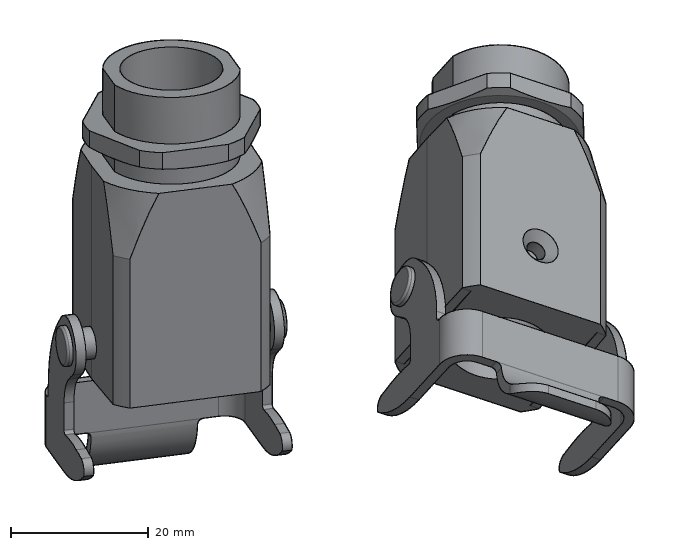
import cadquery as cq
import math

BLOCK_HALF_X = 12.1
BLOCK_HALF_Y_CREST = 12.2
BLOCK_HALF_Y_EDGE = 11.9
BLOCK_TOP = 33.9
CORNER_RADIUS = 15.7
TAPER_START = 23.9
TAPER_TOP_RADIUS = 13.35

LIP_DROP = 0.3
LIP_HALF_X = 10.1
LIP_INNER_Y = 10.5

NECK_DIAMETER = 20.0
NECK_FLAT_HALF_Y = 9.55
NECK_TOP = 47.8
BORE_DIAMETER = 15.0

COLLAR_BOTTOM = 37.25
COLLAR_TOP = 40.35
COLLAR_ACROSS_FLATS = 2 * BLOCK_HALF_X
COLLAR_CORNER_RADIUS = 13.15
COLLAR_CHAMFER_RADIUS = 11.8
COLLAR_CHAMFER_RISE = 0.4

SCREW_Z = 10.7
SCREW_HOLE_DIAMETER = 3.0
SCREW_SINK_DIAMETER = 5.8
SCREW_SINK_DEPTH = (SCREW_SINK_DIAMETER - SCREW_HOLE_DIAMETER) / 2
SCREW_HOLE_DEPTH = 3.6

PIVOT_Z = 5.45
PIN_DIAMETER = 4.8
PIN_HEAD_DIAMETER = 6.0
PIN_HEAD_ROUND = 0.35
PIN_TIP_Y = 16.8
PIN_ROOT_Y = 10.8

SHEET = 1.5
LEVER_HALF_Y = 15.9
LEVER_BACK_X = -15.0
BEND_RADIUS = 4.6
STRAP_TOP = -7.2
STRAP_BOTTOM = -15.5

EYE_RADIUS = 4.45
ARM_BACK_X = -9.55
ARM_BACK_RADIUS = 17.95
SHOULDER_FILLET = 0.7
ARM_FRONT_X = -1.6
THROAT_RADIUS = 6.2
THROAT_SLOPE = math.radians(38)
NOTCH_FILLET = 0.5
HOOK_ROOT_Z = -9.3
HOOK_CREST = (2.0, -9.1)
HOOK_CREST_END = (4.5, -9.25)
HOOK_TIP_START = (7.1, -9.55)
HOOK_TIP_MIDDLE = (8.2, -10.35)
HOOK_TIP_END = (8.25, -11.9)
HOOK_BELLY = (4.6, -14.2)
HOOK_BELLY_START_X = -1.4

TAB_HALF_Y = 8.1
TAB_TIP_X = -21.75
TAB_BOTTOM = NECK_TOP - 71.8
TAB_CURL_RADIUS = STRAP_BOTTOM - TAB_BOTTOM
TAB_CORNER_RADIUS = 4.15
TAB_ROOT_FILLET = 0.85


def block_outline():
    return [
        (BLOCK_HALF_X, -BLOCK_HALF_Y_EDGE),
        (BLOCK_HALF_X, BLOCK_HALF_Y_EDGE),
        (0, BLOCK_HALF_Y_CREST),
        (-BLOCK_HALF_X, BLOCK_HALF_Y_EDGE),
        (-BLOCK_HALF_X, -BLOCK_HALF_Y_EDGE),
        (0, -BLOCK_HALF_Y_CREST),
    ]


def make_block():
    """Prism whose corners are trimmed by a cylinder that turns into a cone near the top."""
    prism = cq.Workplane("XY").workplane(offset=-LIP_DROP).polyline(block_outline()).close()
    prism = prism.extrude(BLOCK_TOP + LIP_DROP)
    envelope = (
        cq.Workplane("XZ")
        .polyline([
            (0, 0),
            (CORNER_RADIUS, 0),
            (CORNER_RADIUS, TAPER_START),
            (TAPER_TOP_RADIUS, BLOCK_TOP),
            (0, BLOCK_TOP),
        ])
        .close()
        .revolve(360, (0, 0, 0), (0, 1, 0))
    )
    lips = (
        cq.Workplane("XZ")
        .polyline([(-LIP_HALF_X, 0), (0, -LIP_DROP), (LIP_HALF_X, 0)])
        .close()
        .extrude(BLOCK_HALF_Y_CREST, both=True)
    )
    lips = lips.cut(cq.Workplane("XY").box(2 * BLOCK_HALF_X, 2 * LIP_INNER_Y, 2 * LIP_DROP))
    return prism.intersect(envelope.union(lips))


def make_neck():
    height = NECK_TOP - BLOCK_TOP
    tube = cq.Workplane("XY").workplane(offset=BLOCK_TOP).circle(NECK_DIAMETER / 2).extrude(height)
    flats = (
        cq.Workplane("XY")
        .workplane(offset=BLOCK_TOP)
        .rect(NECK_DIAMETER, 2 * NECK_FLAT_HALF_Y)
        .extrude(height)
    )
    return tube.intersect(flats)


def make_collar():
    """Hexagon with two flats facing along X, its corners turned and its underside chamfered."""
    hexagon = (
        cq.Workplane("XY")
        .workplane(offset=COLLAR_BOTTOM)
        .polygon(6, COLLAR_ACROSS_FLATS, circumscribed=True)
        .extrude(COLLAR_TOP - COLLAR_BOTTOM)
    )
    turned = (
        cq.Workplane("XZ")
        .polyline([
            (0, COLLAR_BOTTOM),
            (COLLAR_CHAMFER_RADIUS, COLLAR_BOTTOM),
            (COLLAR_CORNER_RADIUS, COLLAR_BOTTOM + COLLAR_CHAMFER_RISE),
            (COLLAR_CORNER_RADIUS, COLLAR_TOP),
            (0, COLLAR_TOP),
        ])
        .close()
        .revolve(360, (0, 0, 0), (0, 1, 0))
    )
    return hexagon.intersect(turned)


def make_pin(side):
    """Headed pivot pin on the +Y side (side = 1) or the -Y side (side = -1)."""
    pin = (
        cq.Workplane("XZ", origin=(0, -PIN_ROOT_Y, PIVOT_Z))
        .circle(PIN_DIAMETER / 2)
        .extrude(LEVER_HALF_Y - PIN_ROOT_Y)
        .faces("<Y")
        .workplane()
        .circle(PIN_HEAD_DIAMETER / 2)
        .extrude(PIN_TIP_Y - LEVER_HALF_Y)
        .faces("<Y")
        .edges()
        .fillet(PIN_HEAD_ROUND)
    )
    return pin if side < 0 else pin.mirror("XZ")


def make_housing():
    housing = make_block().union(make_neck()).union(make_collar())
    for side in (-1, 1):
        housing = housing.union(make_pin(side))
    bore = (
        cq.Workplane("XY")
        .workplane(offset=-LIP_DROP)
        .circle(BORE_DIAMETER / 2)
        .extrude(NECK_TOP + LIP_DROP)
    )
    screw_hole = (
        cq.Workplane("XY", origin=(-BLOCK_HALF_X, 0, SCREW_Z))
        .polyline([
            (0, 0),
            (0, SCREW_SINK_DIAMETER / 2),
            (SCREW_SINK_DEPTH, SCREW_HOLE_DIAMETER / 2),
            (SCREW_HOLE_DEPTH, SCREW_HOLE_DIAMETER / 2),
            (SCREW_HOLE_DEPTH, 0),
        ])
        .close()
        .revolve(360, (0, 0, 0), (1, 0, 0))
    )
    return housing.cut(bore).cut(screw_hole)


def polar(center, radius, angle):
    return (center[0] + radius * math.cos(angle), center[1] + radius * math.sin(angle))


def arm_profile():
    """Side outline of an arm in X and Z, drawn clockwise from the foot of the strap."""
    eye = (0, PIVOT_Z)
    back_angle = math.radians(135)
    eye_back = polar(eye, EYE_RADIUS, back_angle)
    back_center_x = ARM_BACK_X + ARM_BACK_RADIUS
    back_top_x = back_center_x + ARM_BACK_RADIUS * math.cos(back_angle)
    back_top_z = eye_back[1] + back_top_x - eye_back[0]
    back_center = (back_center_x, back_top_z - ARM_BACK_RADIUS * math.sin(back_angle))
    back_middle = polar(back_center, ARM_BACK_RADIUS, math.radians(157.5))

    eye_front = polar(eye, EYE_RADIUS, THROAT_SLOPE - math.pi / 2)
    throat_angle = THROAT_SLOPE + math.pi / 2
    throat_center_x = ARM_FRONT_X + THROAT_RADIUS
    throat_top_x = throat_center_x + THROAT_RADIUS * math.cos(throat_angle)
    throat_top_z = eye_front[1] + (throat_top_x - eye_front[0]) * math.tan(THROAT_SLOPE)
    throat_center = (throat_center_x, throat_top_z - THROAT_RADIUS * math.sin(throat_angle))
    throat_middle = polar(throat_center, THROAT_RADIUS, (throat_angle + math.pi) / 2)

    shoulder_center = (ARM_BACK_X - SHOULDER_FILLET, STRAP_TOP + SHOULDER_FILLET)
    notch_center = (ARM_FRONT_X + NOTCH_FILLET, HOOK_ROOT_Z + NOTCH_FILLET)
    bend_end_x = LEVER_BACK_X + BEND_RADIUS
    return (
        cq.Workplane("XZ")
        .moveTo(bend_end_x, STRAP_BOTTOM)
        .lineTo(bend_end_x, STRAP_TOP)
        .lineTo(shoulder_center[0], STRAP_TOP)
        .threePointArc(
            polar(shoulder_center, SHOULDER_FILLET, math.radians(-45)),
            (ARM_BACK_X, shoulder_center[1]),
        )
        .lineTo(ARM_BACK_X, back_center[1])
        .threePointArc(back_middle, (back_top_x, back_top_z))
        .lineTo(*eye_back)
        .threePointArc(polar(eye, EYE_RADIUS, 0), eye_front)
        .lineTo(throat_top_x, throat_top_z)
        .threePointArc(throat_middle, (ARM_FRONT_X, throat_center[1]))
        .lineTo(ARM_FRONT_X, notch_center[1])
        .threePointArc(
            polar(notch_center, NOTCH_FILLET, math.radians(-135)),
            (notch_center[0], HOOK_ROOT_Z),
        )
        .threePointArc(HOOK_CREST, HOOK_CREST_END)
        .lineTo(*HOOK_TIP_START)
        .threePointArc(HOOK_TIP_MIDDLE, HOOK_TIP_END)
        .threePointArc(HOOK_BELLY, (HOOK_BELLY_START_X, STRAP_BOTTOM))
        .close()
    )


def make_arm(side):
    """Hooked arm on the +Y side (side = 1) or the -Y side (side = -1)."""
    arm = arm_profile().extrude(SHEET)
    pin_hole = cq.Workplane("XZ", origin=(0, 0, PIVOT_Z)).circle(PIN_DIAMETER / 2).extrude(SHEET)
    inner_y = LEVER_HALF_Y - SHEET
    shift_y = -inner_y if side < 0 else LEVER_HALF_Y
    return arm.cut(pin_hole).translate((0, shift_y, 0))


def make_strap():
    """Upright band across the back, with a quarter bend into each arm."""
    inner_half_y = LEVER_HALF_Y - SHEET
    inner_x = LEVER_BACK_X + SHEET
    straight_half_y = LEVER_HALF_Y - BEND_RADIUS
    bend_end_x = LEVER_BACK_X + BEND_RADIUS
    inner_bend_radius = BEND_RADIUS - SHEET
    right_center = (bend_end_x, -straight_half_y)
    left_center = (bend_end_x, straight_half_y)
    right_middle = math.radians(-135)
    left_middle = math.radians(135)
    return (
        cq.Workplane("XY")
        .workplane(offset=STRAP_BOTTOM)
        .moveTo(bend_end_x, -LEVER_HALF_Y)
        .threePointArc(polar(right_center, BEND_RADIUS, right_middle), (LEVER_BACK_X, -straight_half_y))
        .lineTo(LEVER_BACK_X, straight_half_y)
        .threePointArc(polar(left_center, BEND_RADIUS, left_middle), (bend_end_x, LEVER_HALF_Y))
        .lineTo(bend_end_x, inner_half_y)
        .threePointArc(polar(left_center, inner_bend_radius, left_middle), (inner_x, straight_half_y))
        .lineTo(inner_x, -straight_half_y)
        .threePointArc(polar(right_center, inner_bend_radius, right_middle), (bend_end_x, -inner_half_y))
        .close()
        .extrude(STRAP_TOP - STRAP_BOTTOM)
    )


def make_tab():
    """Thumb tab that drops from the strap and curls outward, with rounded tip corners."""
    root_half_y = TAB_HALF_Y + TAB_ROOT_FILLET
    inner_radius = TAB_CURL_RADIUS - SHEET
    curl_center = (LEVER_BACK_X + SHEET - TAB_CURL_RADIUS, STRAP_BOTTOM)
    middle = math.radians(-45)
    curl = (
        cq.Workplane("XZ")
        .moveTo(LEVER_BACK_X, STRAP_BOTTOM)
        .lineTo(LEVER_BACK_X + SHEET, STRAP_BOTTOM)
        .threePointArc(polar(curl_center, TAB_CURL_RADIUS, middle), (curl_center[0], TAB_BOTTOM))
        .lineTo(curl_center[0], TAB_BOTTOM + SHEET)
        .threePointArc(polar(curl_center, inner_radius, middle), (LEVER_BACK_X, STRAP_BOTTOM))
        .close()
        .extrude(root_half_y, both=True)
    )
    length = LEVER_BACK_X + SHEET - TAB_TIP_X
    height = STRAP_BOTTOM - TAB_BOTTOM
    blade = (
        cq.Workplane("XY")
        .box(length, 2 * TAB_HALF_Y, height, centered=(False, True, False))
        .edges("|Z and <X")
        .fillet(TAB_CORNER_RADIUS)
        .translate((TAB_TIP_X, 0, TAB_BOTTOM))
    )
    for side in (-1, 1):
        blade = blade.union(make_tab_root(side, length))
    return curl.intersect(blade)


def make_tab_root(side, length):
    """Concave wedge that widens one edge of the tab where it meets the strap."""
    edge_y = side * TAB_HALF_Y
    center = (side * (TAB_HALF_Y + TAB_ROOT_FILLET), STRAP_BOTTOM - TAB_ROOT_FILLET)
    toward_corner = math.radians(135 if side > 0 else 45)
    return (
        cq.Workplane("YZ", origin=(LEVER_BACK_X + SHEET, 0, 0))
        .moveTo(edge_y, STRAP_BOTTOM)
        .lineTo(center[0], STRAP_BOTTOM)
        .threePointArc(polar(center, TAB_ROOT_FILLET, toward_corner), (edge_y, center[1]))
        .close()
        .extrude(-length / 2)
    )


def make_lever():
    lever = make_strap().union(make_tab())
    for side in (-1, 1):
        lever = lever.union(make_arm(side))
    return lever


housing = make_housing()
lever = make_lever()

result = cq.Compound.makeCompound([housing.val(), lever.val()])